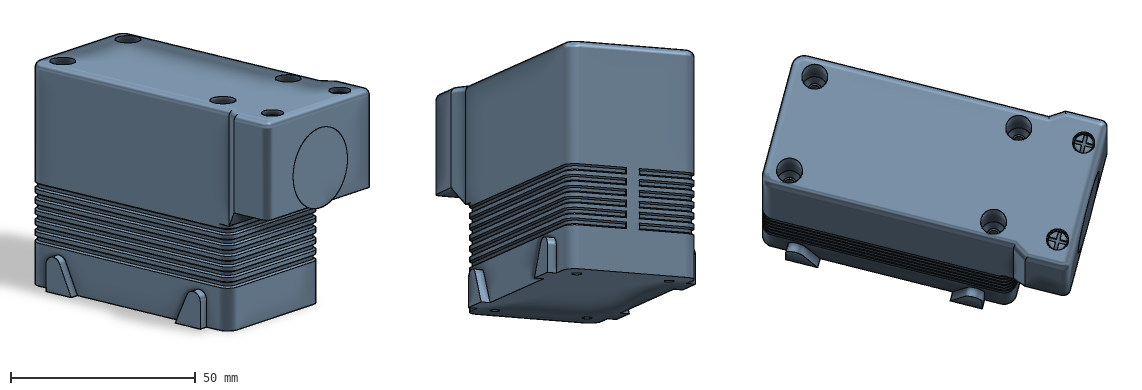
import cadquery as cq
import math

LENGTH = 87.0
WIDTH = 43.5
HEIGHT = 63.0
BASE_LENGTH = 70.9
BASE_WIDTH = 38.3
BASE_TOP = 30.0
BASE_CORNER_RADIUS = 3.5
FLARE_LENGTH = 4.0
OVERHANG_BOTTOM = 35.15
OVERHANG_CORNER_RADIUS = 2.1
TOP_EDGE_RADIUS = 2.0
FLARE_END = BASE_LENGTH + FLARE_LENGTH

GROOVE_COUNT = 6
GROOVE_PITCH = 3.0
GROOVE_BOTTOM = 12.1
GROOVE_WIDTH = 1.8
GROOVE_DEPTH = 0.7
GROOVE_FLANK = 0.4
GROOVE_GAP = 3.8

LUG_INSET = 8.0
LUG_FOOT = 9.0
LUG_HEIGHT = 10.2
LUG_RADIUS = 2.5
LUG_DEPTH = (WIDTH - BASE_WIDTH) / 2

HOLE_INSET = 7.0
HOLE_Y = 13.6
HOLE_RADIUS = 1.3
COUNTERBORE_RADIUS = 3.5
COUNTERBORE_DEPTH = 13.05
CONE_END_RADIUS = 1.8
CONE_DEPTH = 1.0

SCREW_X = 81.95
SCREW_Y = 14.0
SCREW_RADIUS = 2.6
SCREW_LENGTH = 5.2
SCREW_RECESS_RADIUS = 3.0
SCREW_RECESS_DEPTH = 1.4
SCREW_FACE_Z = HEIGHT - SCREW_RECESS_DEPTH
SLOT_WIDTH = 1.0
SLOT_DEPTH = 0.9

PLUG_LENGTH = 10.2
PLUG_RADIUS = 11.3
PLUG_DROP = 1.1
PLUG_AXIS_Z = OVERHANG_BOTTOM - PLUG_DROP + PLUG_RADIUS


def base_prism(inset, bottom, height, taper=0):
    """Rounded rectangle of the base, moved inwards by `inset` and extruded up from `bottom`."""
    sketch = (
        cq.Sketch()
        .rect(BASE_LENGTH - 2 * inset, BASE_WIDTH - 2 * inset)
        .vertices()
        .fillet(BASE_CORNER_RADIUS - inset)
    )
    return (
        cq.Workplane("XY", origin=(BASE_LENGTH / 2, 0, bottom))
        .placeSketch(sketch)
        .extrude(height, taper=taper)
    )


def corner_cutter(y_sign):
    """Rounds one +X corner of the base, which stops at the underside of the flare."""
    radius = BASE_CORNER_RADIUS
    square = cq.Workplane("XY").rect(radius, y_sign * radius, centered=False).extrude(BASE_TOP)
    cylinder = cq.Workplane("XY").circle(radius).extrude(BASE_TOP)
    center = (BASE_LENGTH - radius, y_sign * (BASE_WIDTH / 2 - radius), 0)
    return square.cut(cylinder).translate(center)


def outer_block():
    """Main box and overhang, with all outer corners rounded."""
    half_base = BASE_WIDTH / 2
    half_width = WIDTH / 2
    plan = [
        (0, -half_base),
        (BASE_LENGTH, -half_base),
        (FLARE_END, -half_width),
        (LENGTH, -half_width),
        (LENGTH, half_width),
        (FLARE_END, half_width),
        (BASE_LENGTH, half_base),
        (0, half_base),
    ]
    side = [
        (0, 0),
        (BASE_LENGTH, 0),
        (BASE_LENGTH, BASE_TOP),
        (FLARE_END, OVERHANG_BOTTOM),
        (LENGTH, OVERHANG_BOTTOM),
        (LENGTH, HEIGHT),
        (0, HEIGHT),
    ]
    block = cq.Workplane("XY").polyline(plan).close().extrude(HEIGHT)
    block = block.edges("|Z and <X").fillet(BASE_CORNER_RADIUS)
    block = block.edges("|Z and >X").fillet(OVERHANG_CORNER_RADIUS)
    block = block.faces(">Z").edges().fillet(TOP_EDGE_RADIUS)
    envelope = cq.Workplane("XZ").polyline(side).close().extrude(half_width, both=True)
    block = block.intersect(envelope)
    for y_sign in (-1, 1):
        block = block.cut(corner_cutter(y_sign))
    return block


def groove_cutter(bottom):
    """One trapezoidal groove around the base, interrupted in the middle of the -X face."""
    middle = bottom + GROOVE_WIDTH / 2
    flank_angle = math.degrees(math.atan2(GROOVE_DEPTH, GROOVE_FLANK))
    lower_flank = base_prism(0, bottom, GROOVE_FLANK, flank_angle)
    upper_flank = lower_flank.mirror("XY", (0, 0, middle))
    ring = (
        cq.Workplane("XY", origin=(BASE_LENGTH / 2, 0, middle))
        .box(BASE_LENGTH, BASE_WIDTH, GROOVE_WIDTH)
        .cut(base_prism(GROOVE_DEPTH, bottom, GROOVE_WIDTH))
        .cut(lower_flank)
        .cut(upper_flank)
    )
    gap = cq.Workplane("XY", origin=(0, 0, middle)).box(BASE_LENGTH / 2, GROOVE_GAP, GROOVE_WIDTH)
    return ring.cut(gap)


def side_lugs():
    """Four lugs: round top, one upright flank, the other sloping down to the bottom edge."""
    arc_x = LUG_INSET + LUG_RADIUS
    arc_z = LUG_HEIGHT - LUG_RADIUS
    foot_x = LUG_INSET + LUG_FOOT
    run = foot_x - arc_x
    slope = math.atan2(run, arc_z) - math.asin(LUG_RADIUS / math.hypot(run, arc_z))
    tangent = (arc_x + LUG_RADIUS * math.cos(slope), arc_z + LUG_RADIUS * math.sin(slope))
    lug = (
        cq.Workplane("XZ", origin=(0, -BASE_WIDTH / 2, 0))
        .moveTo(LUG_INSET, 0)
        .lineTo(LUG_INSET, arc_z)
        .threePointArc((arc_x, LUG_HEIGHT), tangent)
        .lineTo(foot_x, 0)
        .close()
        .extrude(LUG_DEPTH)
    )
    pair = lug.union(lug.mirror("YZ", (BASE_LENGTH / 2, 0, 0)))
    return pair.union(pair.mirror("XZ"))


def hole_cutter(x, y):
    """Counterbore, its conical bottom and the narrow hole down through the housing."""
    cone_top = HEIGHT - COUNTERBORE_DEPTH
    cone_bottom = cone_top - CONE_DEPTH
    profile = [
        (0, 0),
        (HOLE_RADIUS, 0),
        (HOLE_RADIUS, cone_bottom),
        (CONE_END_RADIUS, cone_bottom),
        (COUNTERBORE_RADIUS, cone_top),
        (COUNTERBORE_RADIUS, HEIGHT),
        (0, HEIGHT),
    ]
    cutter = cq.Workplane("XZ").polyline(profile).close().revolve(360, (0, 0, 0), (0, 1, 0))
    return cutter.translate((x, y, 0))


def make_plug():
    """Round plug along X, flush with the end of the overhang."""
    end_face = cq.Workplane("YZ", origin=(LENGTH, 0, PLUG_AXIS_Z))
    return end_face.circle(PLUG_RADIUS).extrude(-PLUG_LENGTH)


def screw_blank(y):
    """Plain cylinder of a screw, up to its face."""
    face = cq.Workplane("XY", origin=(SCREW_X, y, SCREW_FACE_Z))
    return face.circle(SCREW_RADIUS).extrude(-SCREW_LENGTH)


def screw_recess(y):
    """Recess above a screw face, slightly wider than the screw."""
    mouth = cq.Workplane("XY", origin=(SCREW_X, y, HEIGHT))
    return mouth.circle(SCREW_RECESS_RADIUS).extrude(-SCREW_RECESS_DEPTH)


def make_screw(y):
    """Screw with a cross slot over the full width of its face."""
    slot = (
        cq.Workplane("XY", origin=(SCREW_X, y, SCREW_FACE_Z))
        .rect(2 * SCREW_RADIUS, SLOT_WIDTH)
        .extrude(-SLOT_DEPTH)
    )
    crossing = slot.rotate((SCREW_X, y, 0), (SCREW_X, y, 1), 90)
    return screw_blank(y).cut(slot).cut(crossing)


def make_housing():
    """One solid: block, lugs, grooves and holes, with seats for the screws and the plug."""
    housing = outer_block().union(side_lugs())
    for index in range(GROOVE_COUNT):
        housing = housing.cut(groove_cutter(GROOVE_BOTTOM + index * GROOVE_PITCH))
    for x in (HOLE_INSET, BASE_LENGTH - HOLE_INSET):
        for y in (-HOLE_Y, HOLE_Y):
            housing = housing.cut(hole_cutter(x, y))
    for y in (-SCREW_Y, SCREW_Y):
        housing = housing.cut(screw_recess(y)).cut(screw_blank(y))
    return housing.cut(make_plug())


housing = make_housing()
screws = [make_screw(y).val() for y in (-SCREW_Y, SCREW_Y)]
plug = make_plug()

result = cq.Compound.makeCompound([housing.val(), *screws, plug.val()])